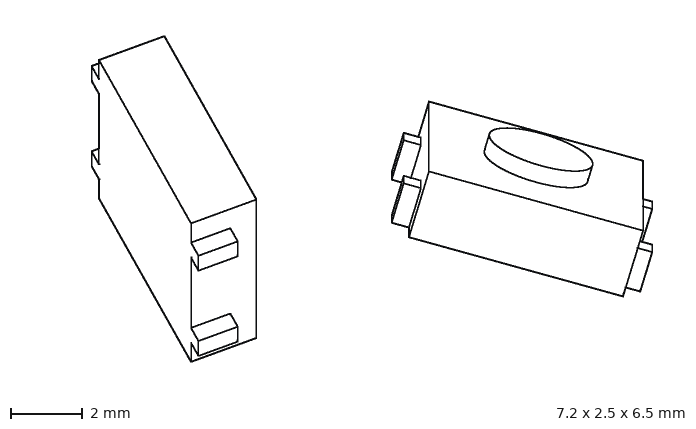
import cadquery as cq

body_width = 6.2
body_depth = 2.0
body_height = 6.5

button_diameter = 3.0
button_height = 0.5

overall_width = 7.2
terminal_depth = 1.2
terminal_height = 0.7
terminal_pitch = 4.0


def make_block(width, depth, height, z_center=0):
    """Block centred in X and on z_center, reaching from Y = 0 toward +Y."""
    base = cq.Workplane("XY", origin=(0, 0, z_center))
    return base.box(width, depth, height, centered=(True, False, True))


def make_button():
    base = cq.Workplane("XZ", origin=(0, body_depth, 0))
    return base.circle(button_diameter / 2).extrude(-button_height)


body = make_block(body_width, body_depth, body_height)
result = body.union(make_button())

for row_z in (-terminal_pitch / 2, terminal_pitch / 2):
    terminal_bar = make_block(overall_width, terminal_depth, terminal_height, row_z)
    result = result.union(terminal_bar)

result = result.clean()